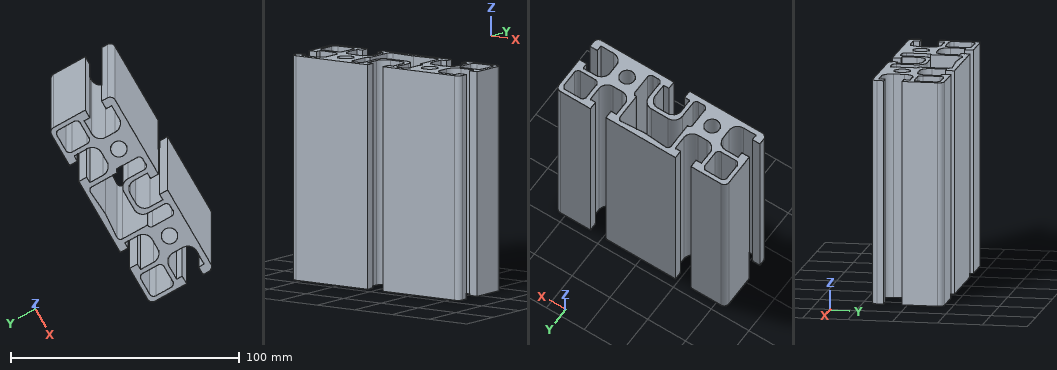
import cadquery as cq

WIDTH = 90.0
DEPTH = 32.0
LENGTH = 100.0
CORNER_RADIUS = 2.5

SLOT_OPENING = 8.2
SLOT_CAVITY_WIDTH = 13.8
SLOT_LIP = 4.0
SLOT_DEPTH = 15.1
SLOT_FILLET = 4.5

BORE_DIAMETER = 7.2
CORE_OFFSET = 22.5

WALL = 2.0
BOX_FILLET = 2.0

CHAMBER_BACK_WIDTH = 27.0
CHAMBER_FRONT_WIDTH = 30.4
CHAMBER_STEP_Y = -0.6
CHAMBER_FLOOR = 2.6
CHAMBER_FILLET = 1.8
STEP_FILLET = 1.5
ROOF_PEAK_DROP = 1.0
SHROUD_FILLET = 4.5

BACK_Y = DEPTH / 2
FRONT_Y = -DEPTH / 2
END_X = WIDTH / 2
CORE_X = END_X - CORE_OFFSET
CORE_Y = BACK_Y - CORE_OFFSET


def rectangle_prism(x_min, x_max, y_min, y_max):
    """Full-length block between the given X and Y limits."""
    return (
        cq.Workplane("XY")
        .center((x_min + x_max) / 2, (y_min + y_max) / 2)
        .rect(x_max - x_min, y_max - y_min)
        .extrude(LENGTH)
    )


def t_slot(x, y, angle):
    """T-slot cutter mouthed at (x, y); at angle 0 it opens toward -Y."""
    half_opening = SLOT_OPENING / 2
    half_cavity = SLOT_CAVITY_WIDTH / 2
    mouth = rectangle_prism(-half_opening, half_opening, 0, SLOT_LIP)
    cavity = rectangle_prism(-half_cavity, half_cavity, SLOT_LIP, SLOT_DEPTH)
    cavity = cavity.edges("|Z and >Y").fillet(SLOT_FILLET)
    cutter = cavity.union(mouth)
    return cutter.rotate((0, 0, 0), (0, 0, 1), angle).translate((x, y, 0))


def corner_box(side):
    """Closed square cell in a back corner; side is -1 or 1."""
    outer = END_X - WALL
    inner = CORE_X + SLOT_CAVITY_WIDTH / 2 + WALL
    size = outer - inner
    x_limits = sorted((side * outer, side * inner))
    box = rectangle_prism(*x_limits, BACK_Y - WALL - size, BACK_Y - WALL)
    return box.edges("|Z").fillet(BOX_FILLET)


def central_chamber():
    """Closed chamber with a peaked back wall and legs beside the front slot."""
    back_half = CHAMBER_BACK_WIDTH / 2
    roof_y = BACK_Y - WALL
    back = (
        cq.Workplane("XY")
        .moveTo(-back_half, CHAMBER_STEP_Y)
        .lineTo(-back_half, roof_y)
        .lineTo(0, roof_y - ROOF_PEAK_DROP)
        .lineTo(back_half, roof_y)
        .lineTo(back_half, CHAMBER_STEP_Y)
        .close()
        .extrude(LENGTH)
        .edges("|Z and (<X or >X) and >Y")
        .fillet(CHAMBER_FILLET)
    )
    front_half = CHAMBER_FRONT_WIDTH / 2
    floor_y = FRONT_Y + CHAMBER_FLOOR
    front = rectangle_prism(-front_half, front_half, floor_y, CHAMBER_STEP_Y)
    front = front.edges("|Z and >Y").fillet(STEP_FILLET)
    shroud_half = SLOT_CAVITY_WIDTH / 2 + WALL
    shroud_y = FRONT_Y + SLOT_DEPTH + WALL
    shroud = rectangle_prism(-shroud_half, shroud_half, FRONT_Y, shroud_y)
    shroud = shroud.edges("|Z and >Y").fillet(SHROUD_FILLET)
    chamber = back.union(front).cut(shroud)
    return chamber.edges("|Z and <Y").fillet(CHAMBER_FILLET)


result = rectangle_prism(-END_X, END_X, FRONT_Y, BACK_Y).edges("|Z").fillet(CORNER_RADIUS)
result = result.cut(t_slot(0, FRONT_Y, 0)).cut(central_chamber())

for side in (-1, 1):
    bore = cq.Workplane("XY").center(side * CORE_X, CORE_Y).circle(BORE_DIAMETER / 2).extrude(LENGTH)
    result = result.cut(bore)
    result = result.cut(t_slot(side * CORE_X, BACK_Y, 180))
    result = result.cut(t_slot(side * END_X, CORE_Y, side * 90))
    result = result.cut(corner_box(side))